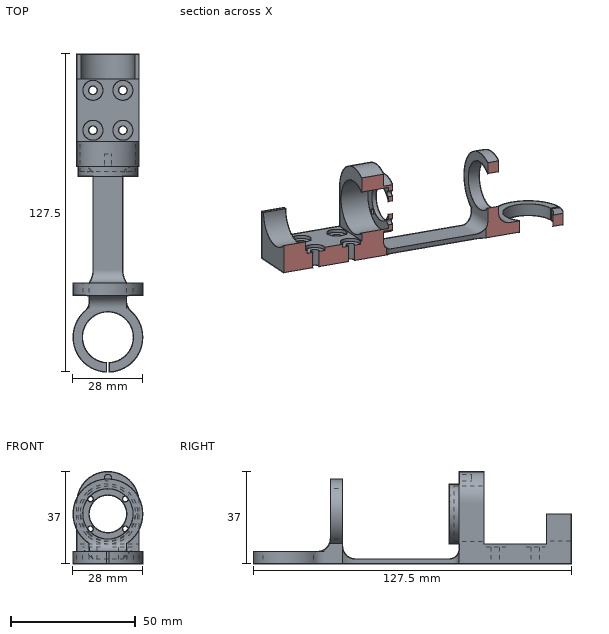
import cadquery as cq
import math

block_width = 25.0
block_length = 45.0
wall_length = 10.0
floor_height = 8.0
cradle_height = 20.0
front_wall_height = 37.0
dome_radius = block_width / 2

axis_height = 20.0
motor_diameter = 22.25
cradle_diameter = 21.7

boss_diameter = 24.0
boss_length = 4.0
bore_diameter = 15.0
bore_lip_thickness = 2.0
motor_hole_diameter = 2.2
motor_hole_offset_x = 7.0
motor_hole_offset_z = 6.0

locating_hole_diameter = 2.8
locating_hole_height = 34.5
locating_hole_depth = 5.0

mount_hole_diameter = 3.33
mount_counterbore_diameter = 8.0
mount_counterbore_depth = 1.3
mount_spacing_x = 12.0
mount_spacing_y = 16.0

arm_width = 12.0
arm_thickness = 2.0
arm_root_radius = 4.0

ring_diameter = 28.0
upright_bore_diameter = 20.2
flat_bore_diameter = 20.35
ring_thickness = 5.0
neck_width = 15.0
neck_radius = 5.0
flat_ring_y = -68.5
slot_width = 1.0

ring_radius = ring_diameter / 2
neck_chord_distance = math.sqrt(ring_radius ** 2 - (neck_width / 2) ** 2)
upright_front_y = flat_ring_y + neck_chord_distance + neck_radius
upright_back_y = upright_front_y + ring_thickness


def box(width, y_start, y_end, height):
    """Box centred on X that stands on the base plane."""
    length = y_end - y_start
    base = cq.Workplane("XY", origin=(0, y_start, 0))
    return base.box(width, length, height, centered=(True, False, False))


def cylinder_y(diameter, y_start, y_end, x=0.0, z=axis_height):
    """Cylinder parallel to Y between two Y positions."""
    sketch = cq.Workplane("XZ", origin=(x, y_start, z)).circle(diameter / 2)
    return sketch.extrude(y_start - y_end)


def cylinder_z(diameter, x, y, z_start, z_end):
    """Cylinder parallel to Z between two heights."""
    return cq.Workplane("XY", origin=(x, y, z_start)).circle(diameter / 2).extrude(z_end - z_start)


def concave_side_profile(wall_y, radius, height, direction):
    """Base-to-top side profile that sweeps from a wall down to a plate of the given height."""
    end_y = wall_y + direction * radius
    profile = (
        cq.Workplane("YZ", origin=(-block_width, 0, 0))
        .moveTo(wall_y, 0)
        .lineTo(wall_y, height + radius)
        .radiusArc((end_y, height), direction * -radius)
        .lineTo(end_y, 0)
        .close()
    )
    return profile.extrude(2 * block_width)


def flared_plan(wall_y, end_y, wall_half_width, height):
    """Plan that leaves the arm sides tangentially and widens along arcs up to a wall."""
    arm_half = arm_width / 2
    run = abs(wall_y - end_y)
    step = wall_half_width - arm_half
    flare_radius = (run ** 2 + step ** 2) / (2 * step)
    angle = math.asin(run / flare_radius) / 2
    mid_x = arm_half + flare_radius * (1 - math.cos(angle))
    mid_y = end_y + math.copysign(flare_radius * math.sin(angle), wall_y - end_y)
    return (
        cq.Workplane("XY")
        .moveTo(arm_half, end_y)
        .threePointArc((mid_x, mid_y), (wall_half_width, wall_y))
        .lineTo(-wall_half_width, wall_y)
        .threePointArc((-mid_x, mid_y), (-arm_half, end_y))
        .close()
        .extrude(height)
    )


def make_saddle_block():
    block = box(block_width, 0, block_length, floor_height)
    block = block.union(box(block_width, block_length - wall_length, block_length, cradle_height))
    dome_z = front_wall_height - dome_radius
    block = block.union(box(block_width, 0, wall_length, dome_z))
    block = block.union(cylinder_y(2 * dome_radius, 0, wall_length, z=dome_z))
    return block.cut(cylinder_y(cradle_diameter, block_length - wall_length, block_length))


def cut_mount_holes(body):
    floor_centre_y = block_length / 2
    for side_x in (-1, 1):
        for side_y in (-1, 1):
            x = side_x * mount_spacing_x / 2
            y = floor_centre_y + side_y * mount_spacing_y / 2
            body = body.cut(cylinder_z(mount_hole_diameter, x, y, 0, floor_height))
            counterbore_z = floor_height - mount_counterbore_depth
            body = body.cut(cylinder_z(mount_counterbore_diameter, x, y, counterbore_z, floor_height))
    return body


def add_motor_mount(body):
    body = body.union(cylinder_y(boss_diameter, -boss_length, 0))
    body = body.cut(cylinder_y(bore_diameter, -boss_length, wall_length))
    body = body.cut(cylinder_y(motor_diameter, bore_lip_thickness - boss_length, wall_length))
    for side_x in (-1, 1):
        for side_z in (-1, 1):
            x = side_x * motor_hole_offset_x
            z = axis_height + side_z * motor_hole_offset_z
            body = body.cut(cylinder_y(motor_hole_diameter, -boss_length, wall_length, x, z))
    return body.cut(cylinder_y(locating_hole_diameter, 0, locating_hole_depth, z=locating_hole_height))


def make_arm():
    arm = box(arm_width, upright_back_y, 0, arm_thickness)
    block_root = concave_side_profile(0, arm_root_radius, arm_thickness, -1).intersect(
        flared_plan(0, -arm_root_radius, arm_width / 2 + arm_root_radius, axis_height)
    )
    ring_root = concave_side_profile(upright_back_y, neck_radius, arm_thickness, 1).intersect(
        flared_plan(upright_back_y, upright_back_y + neck_radius, neck_width / 2, axis_height)
    )
    return arm.union(block_root).union(ring_root)


def make_neck_flare():
    """Plate under the neck, blended into the flat ring by a tangent arc on each side."""
    half = neck_width / 2
    centre_x = half + neck_radius
    centre_distance = ring_radius + neck_radius
    rise = math.sqrt(centre_distance ** 2 - centre_x ** 2)
    start_y = flat_ring_y + rise
    tangent_x = centre_x * ring_radius / centre_distance
    tangent_y = flat_ring_y + rise * ring_radius / centre_distance
    return (
        cq.Workplane("XY")
        .moveTo(half, upright_front_y)
        .lineTo(half, start_y)
        .radiusArc((tangent_x, tangent_y), -neck_radius)
        .lineTo(0, flat_ring_y)
        .lineTo(-tangent_x, tangent_y)
        .radiusArc((-half, start_y), -neck_radius)
        .lineTo(-half, upright_front_y)
        .close()
    )


def make_rings():
    upright = cylinder_y(ring_diameter, upright_front_y, upright_back_y)
    upright = upright.union(box(neck_width, upright_front_y, upright_back_y, axis_height))

    flat = cylinder_z(ring_diameter, 0, flat_ring_y, 0, ring_thickness)
    flat = flat.union(make_neck_flare().extrude(ring_thickness))

    neck = concave_side_profile(upright_front_y, neck_radius, ring_thickness, -1)
    upright_outline = cylinder_y(ring_diameter, flat_ring_y, upright_front_y)
    upright_outline = upright_outline.union(box(neck_width, flat_ring_y, upright_front_y, axis_height))
    neck = neck.intersect(upright_outline)

    rings = upright.union(flat).union(neck)
    rings = rings.cut(cylinder_y(upright_bore_diameter, upright_front_y, upright_back_y))
    rings = rings.cut(cylinder_z(flat_bore_diameter, 0, flat_ring_y, 0, ring_thickness))
    slot = box(slot_width, flat_ring_y - ring_diameter, flat_ring_y, ring_thickness)
    return rings.cut(slot)


body = add_motor_mount(cut_mount_holes(make_saddle_block()))
result = body.union(make_arm()).union(make_rings())